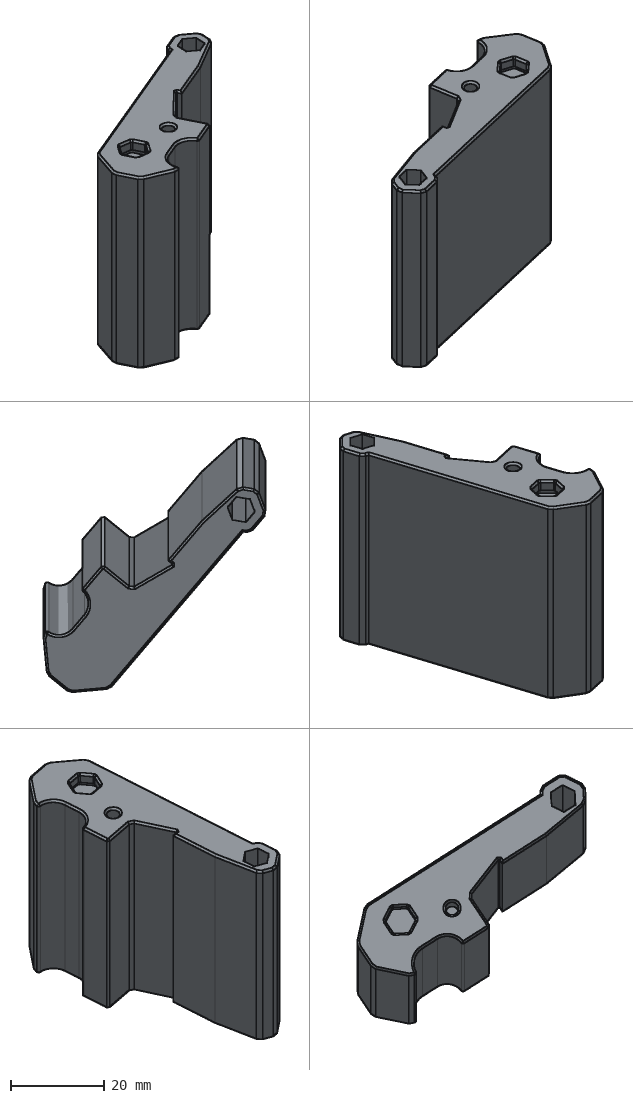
import cadquery as cq
import math

HEIGHT = 48.4
LENGTH = 59.85
BODY_WIDTH = 18.55
BOTTOM_BEVEL = 6.1
RIM_CHAMFER = 0.5

HEAD_OVERHANG = 1.3
HEAD_APOTHEM = 4.85
HEAD_RIGHT_X = 7.0
HEX_HOLE_FLATS = 5.15

ARM_WIDTH = 8.4
ARM_BEND_Y = 47.15
HOOK_Y = 35.9
HOOK_DEPTH = 1.3
SHOULDER_X = 10.55
SHOULDER_Y = 26.2

HEAD_BREAK = 0.8
BODY_BREAK = 0.65
SHOULDER_BREAK = 0.65
TIP_BREAK = 0.5
HOOK_BREAK = 0.25

RECESS_RADIUS = 3.95
RECESS_SPAN = 11.7
RECESS_Y = 13.2
RECESS_TIP_ROUND = 0.5

PIN_DIAMETER = 2.8
PIN_X = 10.7
PIN_Y = 21.5
PIN_DEPTH = 4.8

POCKET_FLATS = 5.75
POCKET_X = 6.8
POCKET_Y = 10.85
POCKET_BREAK = 0.25
POCKET_NECK_DEPTH = 2.4
POCKET_FLOOR_HEIGHT = 1.0
POCKET_FLOOR_WIDENING = 0.5

SIN_30 = math.sin(math.radians(30))
COS_30 = math.cos(math.radians(30))
TAN_30 = math.tan(math.radians(30))
head_corner_radius = HEAD_APOTHEM / COS_30
head_x = HEAD_APOTHEM - HEAD_OVERHANG
head_y = LENGTH + HEAD_BREAK * SIN_30 - head_corner_radius


def head_slope_rise(x):
    """Distance along Y from the head centre to its sloped sides."""
    return head_corner_radius - abs(x - head_x) * TAN_30


head_left_low = (-HEAD_OVERHANG, head_y - head_slope_rise(-HEAD_OVERHANG))
head_left_high = (-HEAD_OVERHANG, head_y + head_slope_rise(-HEAD_OVERHANG))
head_top = (head_x, head_y + head_corner_radius)
head_right = (HEAD_RIGHT_X, head_y + head_slope_rise(HEAD_RIGHT_X))
neck = (0, head_y - head_slope_rise(0))
arm_bend = (ARM_WIDTH, ARM_BEND_Y)
arm_end = (ARM_WIDTH, HOOK_Y)
hook = (ARM_WIDTH - HOOK_DEPTH, HOOK_Y)
shoulder = (SHOULDER_X, SHOULDER_Y)
shoulder_tip = (BODY_WIDTH, SHOULDER_Y)
bottom_corners = [
    (0, BOTTOM_BEVEL),
    (BOTTOM_BEVEL, 0),
    (BODY_WIDTH - BOTTOM_BEVEL, 0),
    (BODY_WIDTH, BOTTOM_BEVEL),
]
recess_tips = [
    (BODY_WIDTH, RECESS_Y - RECESS_SPAN / 2),
    (BODY_WIDTH, RECESS_Y + RECESS_SPAN / 2),
]


def upright_edge(x, y):
    """Selector for the upright edge at an XY corner of the outline."""
    return cq.selectors.NearestToPointSelector((x, y, HEIGHT / 2))


def break_corners(solid, corners, setback):
    """Chamfer the upright edges that stand on the given XY corners."""
    for x, y in corners:
        solid = solid.edges(upright_edge(x, y)).chamfer(setback)
    return solid


def plate():
    """The extruded outline with its recess, corner flats and chamfered rims."""
    outline = [
        *bottom_corners, shoulder_tip, shoulder, hook, arm_end, arm_bend,
        head_right, head_top, head_left_high, head_left_low, neck,
    ]
    recess = (
        cq.Workplane("XY")
        .center(BODY_WIDTH, RECESS_Y)
        .slot2D(RECESS_SPAN, 2 * RECESS_RADIUS, 90)
        .extrude(HEIGHT)
    )
    solid = cq.Workplane("XY").polyline(outline).close().extrude(HEIGHT).cut(recess)
    solid = break_corners(solid, bottom_corners, BODY_BREAK)
    solid = break_corners(solid, [head_right, head_top, head_left_high, head_left_low], HEAD_BREAK)
    solid = break_corners(solid, [shoulder], SHOULDER_BREAK)
    solid = break_corners(solid, [shoulder_tip], TIP_BREAK)
    solid = break_corners(solid, [hook], HOOK_BREAK)
    for corner in recess_tips:
        solid = solid.edges(upright_edge(*corner)).fillet(RECESS_TIP_ROUND)
    return solid.faces(">Z or <Z").chamfer(RIM_CHAMFER)


def hexagon_prism(flats, height):
    """Hexagonal prism on the XY plane with two of its corners along X."""
    return cq.Workplane("XY").polygon(6, flats / COS_30).extrude(height)


def head_hole():
    """Hexagonal through hole with two of its corners along Y."""
    prism = hexagon_prism(HEX_HOLE_FLATS, HEIGHT)
    return prism.rotate((0, 0, 0), (0, 0, 1), 30).translate((head_x, head_y, 0))


def flared_mouth(section, depth):
    """Chamfered mouth that widens upwards over the top of a wire extruded by depth."""
    rim = section.translate(cq.Vector(0, 0, depth - RIM_CHAMFER))
    return cq.Workplane("XY").add(rim).toPending().extrude(RIM_CHAMFER, taper=-45)


def pin_hole():
    """Blind round hole with a chamfered mouth."""
    bore = cq.Workplane("XY").circle(PIN_DIAMETER / 2).extrude(PIN_DEPTH)
    section = bore.faces("<Z").wires().val()
    hole = bore.union(flared_mouth(section, PIN_DEPTH))
    return hole.translate((PIN_X, PIN_Y, HEIGHT - PIN_DEPTH))


def hexagon_pocket():
    """Hexagonal neck with a flared mouth above a slightly wider floor space."""
    depth = POCKET_NECK_DEPTH + POCKET_FLOOR_HEIGHT
    neck_prism = hexagon_prism(POCKET_FLATS, depth).edges("|Z").chamfer(POCKET_BREAK)
    section = neck_prism.faces("<Z").wires().val()
    floor_space = (
        cq.Workplane("XY")
        .add(section)
        .toPending()
        .offset2D(POCKET_FLOOR_WIDENING, "arc")
        .extrude(POCKET_FLOOR_HEIGHT)
    )
    pocket = neck_prism.union(flared_mouth(section, depth)).union(floor_space)
    return pocket.translate((POCKET_X, POCKET_Y, HEIGHT - depth))


result = plate().cut(head_hole()).cut(pin_hole()).cut(hexagon_pocket())